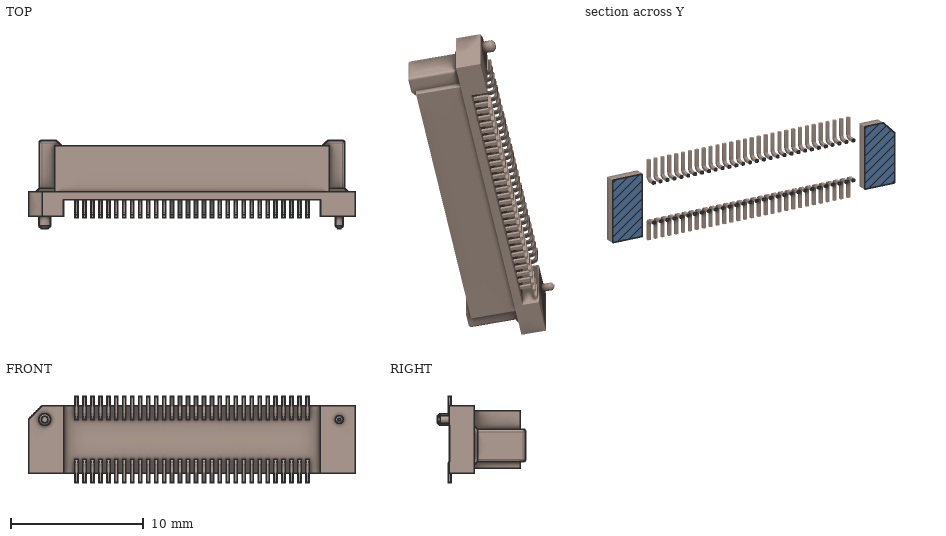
import cadquery as cq
import math

total_length = 24.6
half_length = total_length / 2

flange_height = 5.1
flange_depth = 1.87
end_block_length = 2.63
recess_depth = 1.25
corner_chamfer = 1.0

body_length = 20.66
body_height = 4.35
body_end_y = 5.35

post_outer_x = 11.51
post_top_z = 0.79
post_height = 2.45
post_end_y = 5.73
post_tip_inner_x = 10.25
post_base_inner_x = 9.82
post_round = 0.2
flare_depth = 0.25
flare_angle = 45.0

peg_length = 0.9
peg_chamfer = 0.2
peg_end_distance = 1.2
peg_z = 1.5
large_peg_diameter = 0.89
small_peg_diameter = 0.6

contact_count = 30
contact_row_length = 17.4
contact_pitch = contact_row_length / (contact_count - 1)
contact_width = 0.25
contact_thickness = 0.22
contact_bend = 0.2
contact_front_y = -0.1
contact_inner_z = 1.5
contact_tip_z = 3.25
contact_overlap = 0.12


def box(x_range, y_range, z_range):
    """Box spanning the given (low, high) ranges."""
    lows, highs = zip(x_range, y_range, z_range)
    sizes = [high - low for low, high in zip(lows, highs)]
    return cq.Workplane("XY").box(*sizes, centered=False).translate(lows)


def make_flange():
    half_height = flange_height / 2
    recess_half_length = half_length - end_block_length
    flange = box((-half_length, half_length), (0, flange_depth), (-half_height, half_height))
    flange = flange.edges("|Y and <X and >Z").chamfer(corner_chamfer)
    recess = box(
        (-recess_half_length, recess_half_length), (0, recess_depth), (-half_height, half_height)
    )
    return flange.cut(recess)


def make_body():
    half_x = body_length / 2
    half_z = body_height / 2
    return box((-half_x, half_x), (flange_depth, body_end_y), (-half_z, half_z))


def make_left_post():
    """Rounded post whose tip slopes down to the mating body on its inner side."""
    outline = [
        (-post_outer_x, flange_depth),
        (-post_outer_x, post_end_y),
        (-post_tip_inner_x, post_end_y),
        (-post_base_inner_x, body_end_y),
        (-post_base_inner_x, flange_depth),
    ]
    post = (
        cq.Workplane("XY", origin=(0, 0, post_top_z - post_height))
        .polyline(outline)
        .close()
        .extrude(post_height)
    )
    outer_long_edges = post.faces("<X").edges("|Y")
    tip_outer_edge = post.faces(">Y").edges("<X")
    tip_long_edges = post.faces(">Y").edges("|X")
    return (
        post.newObject(outer_long_edges.vals() + tip_outer_edge.vals() + tip_long_edges.vals())
        .fillet(post_round)
        .union(make_left_flare())
    )


def make_left_flare():
    """Sloping foot around the post, narrowing to the post outline away from the flange."""
    flare_width = flare_depth * math.tan(math.radians(flare_angle))
    length = post_outer_x - post_base_inner_x + 2 * flare_width
    height = post_height + 2 * flare_width
    center_x = -(post_outer_x + post_base_inner_x) / 2
    center_z = post_top_z - post_height / 2
    return (
        cq.Workplane("XZ", origin=(center_x, flange_depth, center_z))
        .rect(length, height)
        .extrude(-flare_depth, taper=flare_angle)
    )


def make_peg(x, diameter):
    """Round peg with a chamfered tip, pointing to -Y."""
    return (
        cq.Workplane("XZ", origin=(x, 0, peg_z))
        .circle(diameter / 2)
        .extrude(peg_length)
        .faces("<Y")
        .chamfer(peg_chamfer)
    )


def make_upper_contact(x):
    """L-shaped contact leaving the recess wall and bending up to its foot."""
    root_y = recess_depth + contact_overlap
    foot_back_y = contact_front_y + contact_thickness
    leg_top_z = contact_inner_z + contact_thickness
    outline = [
        (root_y, contact_inner_z),
        (contact_front_y, contact_inner_z),
        (contact_front_y, contact_tip_z),
        (foot_back_y, contact_tip_z),
        (foot_back_y, leg_top_z),
        (root_y, leg_top_z),
    ]
    contact = (
        cq.Workplane("YZ", origin=(x - contact_width / 2, 0, 0))
        .polyline(outline)
        .close()
        .extrude(contact_width)
    )
    outer_corner = cq.selectors.NearestToPointSelector((x, contact_front_y, contact_inner_z))
    inner_corner = cq.selectors.NearestToPointSelector((x, foot_back_y, leg_top_z))
    contact = contact.edges("|X").edges(inner_corner).fillet(contact_bend)
    return contact.edges("|X").edges(outer_corner).fillet(contact_bend + contact_thickness)


left_post = make_left_post()
peg_x = half_length - peg_end_distance

result = make_flange().union(make_body())
result = result.union(left_post).union(left_post.mirror("YZ"))
result = result.union(make_peg(-peg_x, large_peg_diameter))
result = result.union(make_peg(peg_x, small_peg_diameter))

contacts = cq.Workplane("XY")
for index in range(contact_count):
    upper_contact = make_upper_contact(index * contact_pitch - contact_row_length / 2)
    contacts = contacts.add(upper_contact).add(upper_contact.mirror("XY"))
result = result.union(contacts.combine())